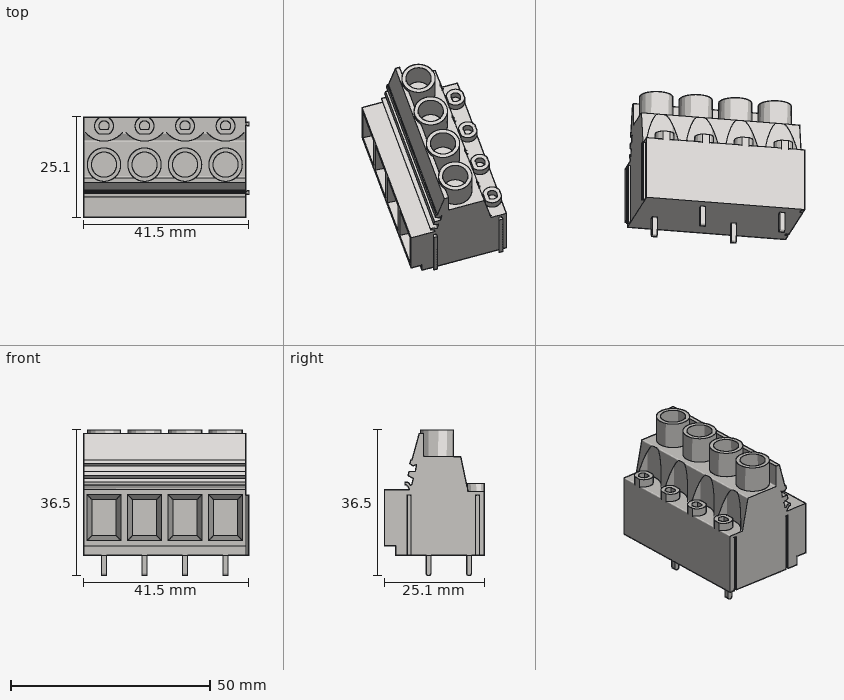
import cadquery as cq


TOTAL_LENGTH = 41.45
RIB_HEIGHT = 0.8
BODY_LENGTH = TOTAL_LENGTH - RIB_HEIGHT
BODY_DEPTH = 25.1
POLE_COUNT = 4
POLE_PITCH = 10.15
FIRST_POLE_X = (BODY_LENGTH - (POLE_COUNT - 1) * POLE_PITCH) / 2
POLE_XS = [FIRST_POLE_X + i * POLE_PITCH for i in range(POLE_COUNT)]

FRONT_STEP_DEPTH = 2.85
FRONT_STEP_HEIGHT = 2.4
LEDGE_Z = 16.5
SHELF_Z = 16.05
SHELF_FRONT_Y = 21.0
DECK_Z = 24.8
DECK_REAR_Y = 19.2
WALL_TOP_Z = 30.6
WALL_REAR_Y = 9.85
WALL_TOP_FRONT_Y = 8.75
EDGE_RADIUS = 0.3

UPPER_TOOTH = ((6.9, 23.95), (6.65, 23.95), (6.4, 23.05), (7.15, 22.4), (8.1, 22.75))
MIDDLE_TOOTH = ((7.75, 21.05), (6.17, 21.05), (5.93, 20.0), (7.25, 19.25))
VALLEY_REAR = (6.9, 17.95)
VALLEY_BOTTOM = (6.67, 17.65)
VALLEY_FRONT = (6.35, 17.85)
HOOK_BACK = (6.15, 18.2)
HOOK_BACK_TOP_Y = 5.8
HOOK_TOP_Z = 18.35
HOOK_BOTTOM_Z = 17.7
HOOK_TIP_Y = 5.15
HOOK_TIP_RADIUS = 0.15
HOOK_THROAT_Y = 5.45
HOOK_UNDERSIDE = (6.0, 17.1)
HOOK_ROOT_Y = 6.25

TOWER_Y = 13.2
TOWER_RADIUS = 4.2
TOWER_BORE_RADIUS = 3.15
TOWER_TOP_Z = 31.45

COLLAR_Y = 22.9
COLLAR_RADIUS = 2.35
COLLAR_FLAT_Y = 20.85
COLLAR_TOP_Z = 18.05
COLLAR_HOLE_RADIUS = 1.3
COLLAR_HOLE_FLAT_Y = 21.95
SCALLOP_RADIUS = 6.0

FUNNEL_WIDTH = 8.55
FUNNEL_HEIGHT = 11.6
FUNNEL_BOTTOM_Z = 3.7
FUNNEL_DEPTH = 6.85
FUNNEL_FLOOR_WIDTH = 6.1
FUNNEL_FLOOR_HEIGHT = 9.05

DOVETAIL_YS = (6.2, 23.4)
DOVETAIL_NECK = 0.65
DOVETAIL_HEAD = 1.0
DOVETAIL_TAPER = 0.5
DOVETAIL_TOP_Z = 15.13

PIN_SIZE = 1.3
PIN_LENGTH = 5.05
PIN_REAR_Y = 21.25
PIN_FRONT_Y = PIN_REAR_Y - POLE_PITCH


def make_body():
    """Extrude the cross-section, with its label-strip teeth and hook on the front slope."""
    body = (
        cq.Workplane("YZ")
        .moveTo(FRONT_STEP_DEPTH, 0)
        .lineTo(BODY_DEPTH, 0)
        .lineTo(BODY_DEPTH, SHELF_Z)
        .lineTo(SHELF_FRONT_Y, SHELF_Z)
        .lineTo(DECK_REAR_Y, DECK_Z)
        .lineTo(WALL_REAR_Y, DECK_Z)
        .lineTo(WALL_REAR_Y, WALL_TOP_Z)
        .lineTo(WALL_TOP_FRONT_Y, WALL_TOP_Z)
        .lineTo(*UPPER_TOOTH[0])
        .polyline(UPPER_TOOTH[1:], includeCurrent=True)
        .polyline(MIDDLE_TOOTH, includeCurrent=True)
        .lineTo(*VALLEY_REAR)
        .threePointArc(VALLEY_BOTTOM, VALLEY_FRONT)
        .threePointArc(HOOK_BACK, (HOOK_BACK_TOP_Y, HOOK_TOP_Z))
        .lineTo(HOOK_TIP_Y, HOOK_TOP_Z)
        .lineTo(HOOK_TIP_Y, HOOK_BOTTOM_Z)
        .lineTo(HOOK_THROAT_Y, HOOK_BOTTOM_Z)
        .threePointArc(HOOK_UNDERSIDE, (HOOK_ROOT_Y, LEDGE_Z))
        .lineTo(0, LEDGE_Z)
        .lineTo(0, FRONT_STEP_HEIGHT)
        .lineTo(FRONT_STEP_DEPTH, FRONT_STEP_HEIGHT)
        .close()
        .extrude(BODY_LENGTH)
    )
    rounded_corners = (
        (BODY_DEPTH, SHELF_Z, EDGE_RADIUS),
        (SHELF_FRONT_Y, SHELF_Z, EDGE_RADIUS),
        (DECK_REAR_Y, DECK_Z, EDGE_RADIUS),
        (WALL_REAR_Y, DECK_Z, EDGE_RADIUS),
        (HOOK_TIP_Y, HOOK_TOP_Z, HOOK_TIP_RADIUS),
        (HOOK_TIP_Y, HOOK_BOTTOM_Z, HOOK_TIP_RADIUS),
    )
    for y, z, radius in rounded_corners:
        edge = cq.selectors.NearestToPointSelector((BODY_LENGTH / 2, y, z))
        body = body.edges(edge).fillet(radius)
    return body


def upright_cylinder(x, y, radius, bottom_z, top_z):
    return cq.Workplane("XY", origin=(x, y, bottom_z)).circle(radius).extrude(top_z - bottom_z)


def block_behind(y, x, bottom_z, top_z):
    """A block one pole wide from the given Y to the rear face, used to trim round shapes flat."""
    block = cq.Workplane("XY", origin=(x, y, bottom_z))
    return block.box(POLE_PITCH, BODY_DEPTH - y, top_z - bottom_z, centered=(True, False, False))


def add_tower(body, x):
    tower = upright_cylinder(x, TOWER_Y, TOWER_RADIUS, DECK_Z, TOWER_TOP_Z)
    bore = upright_cylinder(x, TOWER_Y, TOWER_BORE_RADIUS, DECK_Z, TOWER_TOP_Z)
    return body.union(tower).cut(bore)


def add_collar(body, x):
    """Clear the slope with a scallop, then stand a collar with a D-shaped hole on the shelf."""
    scallop = upright_cylinder(x, BODY_DEPTH, SCALLOP_RADIUS, SHELF_Z, DECK_Z)
    foot_z = SHELF_Z - EDGE_RADIUS
    collar = upright_cylinder(x, COLLAR_Y, COLLAR_RADIUS, foot_z, COLLAR_TOP_Z)
    collar = collar.intersect(block_behind(COLLAR_FLAT_Y, x, foot_z, COLLAR_TOP_Z))
    hole = upright_cylinder(x, COLLAR_Y, COLLAR_HOLE_RADIUS, SHELF_Z, COLLAR_TOP_Z)
    hole = hole.intersect(block_behind(COLLAR_HOLE_FLAT_Y, x, SHELF_Z, COLLAR_TOP_Z))
    return body.cut(scallop).union(collar).cut(hole)


def make_funnel(x):
    """The tapered wire entry, from its mouth in the front face to its flat floor."""
    mid_z = FUNNEL_BOTTOM_Z + FUNNEL_HEIGHT / 2
    return (
        cq.Workplane("XZ", origin=(x, 0, mid_z))
        .rect(FUNNEL_WIDTH, FUNNEL_HEIGHT)
        .workplane(offset=-FUNNEL_DEPTH)
        .rect(FUNNEL_FLOOR_WIDTH, FUNNEL_FLOOR_HEIGHT)
        .loft(ruled=True)
    )


def make_dovetail(x, y):
    """A vertical dovetail bar that starts at its neck and widens toward +X."""
    half_neck = DOVETAIL_NECK / 2
    half_head = DOVETAIL_HEAD / 2
    return (
        cq.Workplane("XY", origin=(x, y, 0))
        .moveTo(0, -half_neck)
        .lineTo(DOVETAIL_TAPER, -half_head)
        .lineTo(RIB_HEIGHT, -half_head)
        .lineTo(RIB_HEIGHT, half_head)
        .lineTo(DOVETAIL_TAPER, half_head)
        .lineTo(0, half_neck)
        .close()
        .extrude(DOVETAIL_TOP_Z)
    )


def make_housing():
    housing = make_body()
    for x in POLE_XS:
        housing = add_collar(housing, x)
        housing = add_tower(housing, x)
        housing = housing.cut(make_funnel(x))
    for y in DOVETAIL_YS:
        housing = housing.union(make_dovetail(BODY_LENGTH, y))
        housing = housing.cut(make_dovetail(0, y))
    return housing


def make_pin(x, y):
    """A square pin hanging from the underside, with a tip rounded about the X axis."""
    half = PIN_SIZE / 2
    tip_start_z = half - PIN_LENGTH
    return (
        cq.Workplane("YZ", origin=(x - half, y, 0))
        .moveTo(-half, 0)
        .lineTo(-half, tip_start_z)
        .threePointArc((0, -PIN_LENGTH), (half, tip_start_z))
        .lineTo(half, 0)
        .close()
        .extrude(PIN_SIZE)
    )


housing = make_housing()
pins = []
for i, pole_x in enumerate(POLE_XS):
    pin_y = PIN_REAR_Y if i % 2 == 0 else PIN_FRONT_Y
    pins.append(make_pin(pole_x, pin_y))

result = cq.Compound.makeCompound([housing.val(), *[pin.val() for pin in pins]])